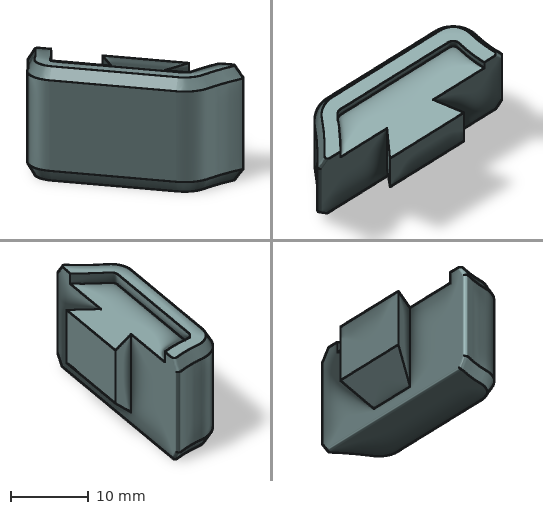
import cadquery as cq
import math

tilt = 54.7
height = 15.4
thickness = 7.95

corner_radius = 4.0
right_corner_x = 7.35
left_corner_x = -9.49
right_sweep = 25.5
left_sweep = 8.0
right_hollow_radius = 26.95
left_hollow_radius = 15.77
trim_margin = 2.03

rim_bevel_height = 1.6
rim_bevel_inset = rim_bevel_height * math.tan(math.radians(30))
back_edge_radius = 0.4

pocket_wall = 2.95
pocket_depth = 1.58

dovetail_depth = 3.8
dovetail_base_width = 7.2
dovetail_flare = dovetail_depth * math.tan(math.radians(30))
dovetail_bottom = 2.0


def on_circle(center, radius, angle):
    """Point on a circle at an angle in radians."""
    return (center[0] + radius * math.cos(angle), center[1] + radius * math.sin(angle))


def side_points(corner_x, side, sweep, hollow_radius, inset):
    """Points of one end from the front face to the stock behind the back; side is +1 or -1."""
    corner = (corner_x, corner_radius - thickness)
    radius = corner_radius - inset
    hollow = hollow_radius + inset
    front = -math.pi / 2
    meeting = -math.radians(sweep) if side > 0 else math.radians(sweep) - math.pi
    hollow_center = on_circle(corner, radius + hollow, meeting)

    rise = math.asin((trim_margin - hollow_center[1]) / hollow)
    finish = math.pi - rise if side > 0 else rise
    start = math.pi - math.radians(sweep) if side > 0 else math.radians(sweep)
    return [
        on_circle(corner, radius, front),
        on_circle(corner, radius, (front + meeting) / 2),
        on_circle(corner, radius, meeting),
        on_circle(hollow_center, hollow, (start + finish) / 2),
        on_circle(hollow_center, hollow, finish),
    ]


def outline_prism(inset, bottom, depth):
    """Prism of the outline moved inward by inset, open past the back plane."""
    right = side_points(right_corner_x, 1, right_sweep, right_hollow_radius, inset)
    left = side_points(left_corner_x, -1, left_sweep, left_hollow_radius, inset)
    return (
        cq.Workplane("XY", origin=(0, 0, bottom))
        .moveTo(*left[0])
        .lineTo(*right[0])
        .threePointArc(right[1], right[2])
        .threePointArc(right[3], right[4])
        .lineTo(*left[4])
        .threePointArc(left[3], left[2])
        .threePointArc(left[1], left[0])
        .close()
        .extrude(depth)
    )


def make_body():
    """Block with bevelled rims, a flat back and rounded back edges."""
    half_height = height / 2
    upper = outline_prism(0, half_height, half_height)
    rim = upper.faces(">Z").edges("not >Y").vals()
    upper = cq.Workplane(upper.val().chamfer(rim_bevel_height, rim_bevel_inset, rim))
    stock = upper.union(upper.mirror("XY", (0, 0, half_height))).clean()
    body = stock.copyWorkplane(cq.Workplane("XZ")).split(keepTop=True)
    return body.faces(">Y").edges("not >Z").fillet(back_edge_radius)


def make_dovetail():
    """Dovetail with a level top at the pocket floor and an underside rising at 45 degrees."""
    half_base = dovetail_base_width / 2
    half_tip = half_base + dovetail_flare
    top = height - pocket_depth
    overlap = thickness - pocket_wall
    dovetail = (
        cq.Workplane("XY")
        .polyline([
            (-half_base, -overlap),
            (half_base, -overlap),
            (half_base, 0),
            (half_tip, dovetail_depth),
            (-half_tip, dovetail_depth),
            (-half_base, 0),
        ])
        .close()
        .extrude(top)
    )
    side_profile = (
        cq.Workplane("YZ", origin=(-half_tip, 0, 0))
        .polyline([
            (-overlap, dovetail_bottom),
            (0, dovetail_bottom),
            (dovetail_depth, dovetail_bottom + dovetail_depth),
            (dovetail_depth, top),
            (-overlap, top),
        ])
        .close()
        .extrude(2 * half_tip)
    )
    return dovetail.intersect(side_profile)


pocket = outline_prism(pocket_wall, height - pocket_depth, pocket_depth)
result = make_body().cut(pocket).union(make_dovetail())
result = result.rotate((0, 0, 0), (0, 0, 1), tilt)